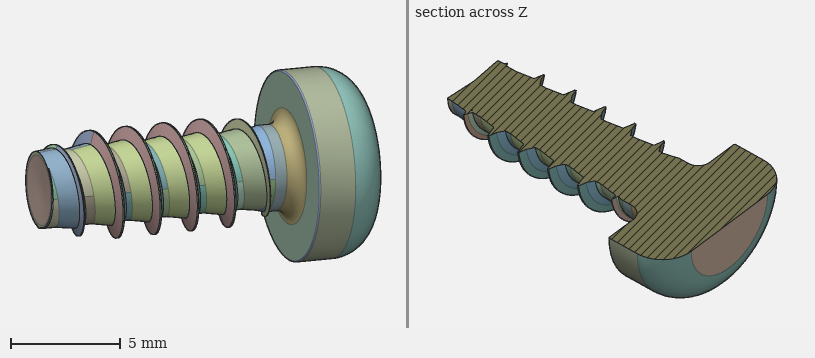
import cadquery as cq
import math


head_radius = 4.4
head_height = 3.49
crown_radius = 1.74
rim_radius = 0.06

shank_length = 12.0
neck_radius = 1.98
neck_fillet = 0.7
neck_end_depth = 1.25
core_radius = 1.76
neck_cone_end_depth = 2.04
tip_chamfer = 0.05
dish_radius = 1.62
dish_depth = 0.12

pitch = 1.8
thread_start_depth = 1.2
crest_radius = 2.52
crest_half_width = 0.04
upper_root_offset = 0.38
upper_shoulder_offset = 0.15
upper_shoulder_radius = 2.12
lower_root_offset = 0.21
lower_root_radius = 1.92
saddle_end_offset = 1.13
root_embed = 0.03
buried_radius = 1.4
start_crest_radius = 2.18
low_crest_radius = 2.04
low_width_fraction = 0.4
low_root_radius = 1.87
runout_crest_radius = 1.78
runout_root_radius = 1.77
thin_fraction = 0.15

full_thread_turn = 1.0
fade_out_turn = 4.5
low_thread_turn = 5.5
runout_turn = 6.05
points_per_turn = 24


def make_blank():
    """Revolve the head and the smooth core as one body."""
    diagonal = math.sqrt(0.5)
    crown_mid = (
        head_radius - crown_radius * (1 - diagonal),
        head_height - crown_radius * (1 - diagonal),
    )
    rim_mid = (head_radius - rim_radius * (1 - diagonal), rim_radius * (1 - diagonal))
    fillet_mid = (
        neck_radius + neck_fillet * (1 - diagonal),
        -neck_fillet * (1 - diagonal),
    )
    return (
        cq.Workplane("XY")
        .moveTo(0, head_height)
        .lineTo(head_radius - crown_radius, head_height)
        .threePointArc(crown_mid, (head_radius, head_height - crown_radius))
        .lineTo(head_radius, rim_radius)
        .threePointArc(rim_mid, (head_radius - rim_radius, 0))
        .lineTo(neck_radius + neck_fillet, 0)
        .threePointArc(fillet_mid, (neck_radius, -neck_fillet))
        .lineTo(neck_radius, -neck_end_depth)
        .lineTo(core_radius, -neck_cone_end_depth)
        .lineTo(core_radius, tip_chamfer - shank_length)
        .lineTo(core_radius - tip_chamfer, -shank_length)
        .lineTo(0, -shank_length)
        .close()
        .revolve(360, (0, 0, 0), (0, 1, 0))
    )


def thread_profile(crest, width, root=lower_root_radius):
    """Corners (radius, axial offset) of the thread section.

    The crest radius, the width fraction and the radius below the crest shrink where the
    thread fades. The last two corners lie inside the core, as does the first pair.
    """
    height = (crest - core_radius) / (crest_radius - core_radius)
    shoulder = core_radius + height * (upper_shoulder_radius - core_radius)
    embedded_radius = core_radius - root_embed
    upper_slope = (upper_root_offset - upper_shoulder_offset) / (upper_shoulder_radius - core_radius)
    upper_root = upper_root_offset + root_embed * upper_slope
    saddle_slope = (saddle_end_offset - lower_root_offset) / (lower_root_radius - core_radius)
    saddle_end = saddle_end_offset + root_embed * saddle_slope
    return [
        (buried_radius, -width * upper_root),
        (embedded_radius, -width * upper_root),
        (shoulder, -width * upper_shoulder_offset),
        (crest, -width * crest_half_width),
        (crest, width * crest_half_width),
        (root, width * lower_root_offset),
        (embedded_radius, saddle_end),
        (buried_radius, saddle_end),
    ]


def thread_point(turn, radius, offset):
    """Place a section corner on the helix, which starts on the -Z side and turns towards +X."""
    angle = 2 * math.pi * turn
    depth = thread_start_depth + pitch * turn + offset
    return cq.Vector(radius * math.sin(angle), -depth, -radius * math.cos(angle))


def corner_path(start, end, corner):
    """Trace one section corner from one thread station to the next as a spline."""
    start_turn, start_profile = start
    end_turn, end_profile = end
    steps = math.ceil((end_turn - start_turn) * points_per_turn)
    points = []
    for step in range(steps + 1):
        share = step / steps
        turn = start_turn + share * (end_turn - start_turn)
        radius, offset = (
            (1 - share) * first + share * last
            for first, last in zip(start_profile[corner], end_profile[corner])
        )
        points.append(thread_point(turn, radius, offset))
    return cq.Edge.makeSpline(points)


def end_cap(station):
    """Flat section face closing the thread at a station."""
    turn, profile = station
    corners = [thread_point(turn, radius, offset) for radius, offset in profile]
    return cq.Face.makeFromWires(cq.Wire.makePolygon(corners, close=True))


def make_thread():
    """Skin the thread through its stations: growing, full, lowered and run out."""
    full = thread_profile(crest_radius, 1.0)
    stations = [
        (0.0, thread_profile(start_crest_radius, thin_fraction)),
        (full_thread_turn, full),
        (fade_out_turn, full),
        (low_thread_turn, thread_profile(low_crest_radius, low_width_fraction, low_root_radius)),
        (runout_turn, thread_profile(runout_crest_radius, thin_fraction, runout_root_radius)),
    ]
    faces = [end_cap(stations[0]), end_cap(stations[-1])]
    for start, end in zip(stations, stations[1:]):
        paths = [corner_path(start, end, corner) for corner in range(len(full))]
        for path, next_path in zip(paths, paths[1:] + paths[:1]):
            faces.append(cq.Face.makeRuledSurface(path, next_path))
    thread = cq.Workplane(cq.Solid.makeSolid(cq.Shell.makeShell(faces)))
    return thread.intersect(make_thread_envelope())


def make_thread_envelope():
    """Cylinder that trims the thread flush with the tip."""
    return cq.Workplane("XZ").circle(head_radius).extrude(shank_length)


def make_tip_dish():
    """Shallow cone sunk into the tip."""
    return (
        cq.Workplane("XY")
        .moveTo(0, -shank_length)
        .lineTo(dish_radius, -shank_length)
        .lineTo(0, dish_depth - shank_length)
        .close()
        .revolve(360, (0, 0, 0), (0, 1, 0))
    )


result = make_blank().union(make_thread()).cut(make_tip_dish())